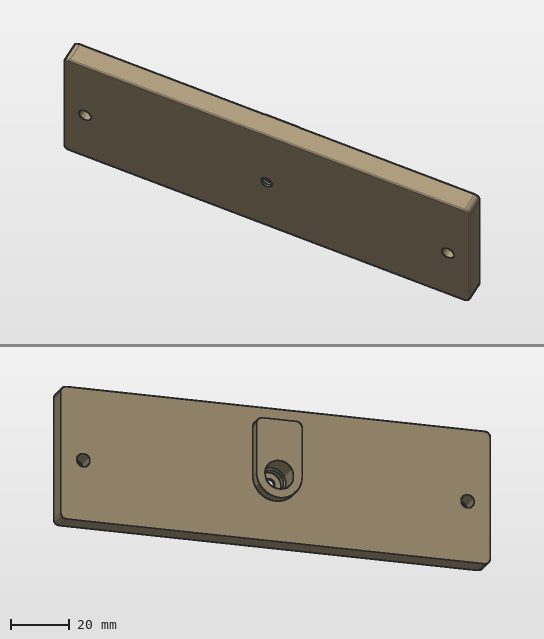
import cadquery as cq

plate_length = 154.8
plate_height = 47.7
plate_thickness = 8.0
plate_corner_radius = 2.2
front_edge_radius = 0.5

total_depth = 12.0
pad_width = 16.4
pad_top_inset = 5.1
pad_corner_radius = 2.2

side_hole_diameter = 4.6
side_hole_spacing = 138.4
side_hole_drop = 2.0

centre_hole_drop = 1.13
centre_hole_steps = [(4.2, 0), (8.5, 1.0), (10.2, 3.7)]

pad_depth = total_depth - plate_thickness
pad_radius = pad_width / 2
pad_top = plate_height / 2 - pad_top_inset
pad_arc_centre = -centre_hole_drop
pad_bottom = pad_arc_centre - pad_radius


def make_plate():
    """Rounded plate from Y = 0 to the back face, with its front edge rounded over."""
    plate = cq.Workplane("XY").box(
        plate_length, plate_thickness, plate_height, centered=(True, False, True)
    )
    plate = plate.edges("|Y").fillet(plate_corner_radius)
    return plate.faces("<Y").edges().fillet(front_edge_radius)


def make_pad():
    """Raised pad behind the plate: small upper corners, half-round lower end."""
    pad = (
        cq.Workplane("XZ", origin=(0, plate_thickness, 0))
        .moveTo(-pad_radius, pad_top)
        .lineTo(pad_radius, pad_top)
        .lineTo(pad_radius, pad_arc_centre)
        .threePointArc((0, pad_bottom), (-pad_radius, pad_arc_centre))
        .close()
        .extrude(-pad_depth)
    )
    return pad.faces(">Z").edges("|Y").fillet(pad_corner_radius)


def make_bore(diameter, x, z, start=0):
    """Round cutter along Y from the given start to the rear of the part."""
    return (
        cq.Workplane("XZ", origin=(x, start, z))
        .circle(diameter / 2)
        .extrude(start - total_depth)
    )


result = make_plate().union(make_pad())

for side in (-1, 1):
    side_x = side * side_hole_spacing / 2
    result = result.cut(make_bore(side_hole_diameter, side_x, -side_hole_drop))

for step_diameter, step_start in centre_hole_steps:
    result = result.cut(make_bore(step_diameter, 0, -centre_hole_drop, step_start))